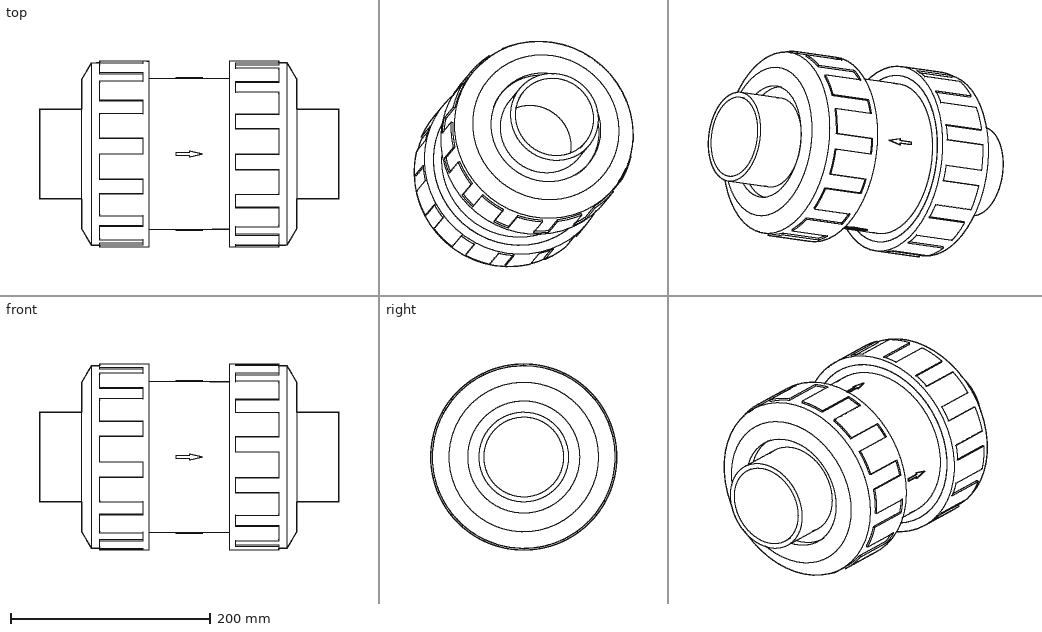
import cadquery as cq

total_length = 300.0
half_length = total_length / 2

body_diameter = 151.5

pipe_diameter = 90.0
bore_diameter = 80.0

nut_diameter = 187.0
nut_rim_diameter = 183.3
nut_face_diameter = 150.0
nut_inner_face = 40.2
nut_outer_face = 108.0
chamfer_length = 10.0
nut_shoulder = 90.0

bore_end = nut_inner_face

gap_diameter = 112.5
gap_depth = 8.5

recess_diameter = 168.3
recess_depth = 0.3

pad_count = 14
pad_pitch = 360 / pad_count
pad_angle = 16.0
pocket_angle = pad_pitch - pad_angle
pad_offset_angle = 5.0
pocket_inner_end = 46.2

arrow_length = 27.0
arrow_head_length = 13.5
arrow_head_width = 6.3
arrow_shaft_width = 2.7
arrow_height = 1.0
arrow_count = 4


def tube(outer_diameter, inner_diameter, x_start, x_end):
    """Hollow cylinder along X between two positions."""
    plane = cq.Workplane("YZ", origin=(x_start, 0, 0))
    return plane.circle(outer_diameter / 2).circle(inner_diameter / 2).extrude(x_end - x_start)


def cylinder(diameter, x_start, x_end):
    """Solid cylinder along X between two positions."""
    return cq.Workplane("YZ", origin=(x_start, 0, 0)).circle(diameter / 2).extrude(x_end - x_start)


def nut_blank():
    """Turned shape of the nut on the +X side at its rim diameter, with a conical outer end."""
    profile = [
        (nut_inner_face, 0),
        (nut_inner_face, nut_rim_diameter / 2),
        (nut_outer_face - chamfer_length, nut_rim_diameter / 2),
        (nut_outer_face, nut_face_diameter / 2),
        (nut_outer_face, 0),
    ]
    return cq.Workplane("XY").polyline(profile).close().revolve(360, (0, 0, 0), (1, 0, 0))


def grip_pocket():
    """Cutter for one pocket through the sleeve, its first side in the XY plane on the +Y side."""
    profile = [
        (pocket_inner_end, pipe_diameter / 2),
        (nut_outer_face, pipe_diameter / 2),
        (nut_outer_face, nut_diameter),
        (pocket_inner_end, nut_diameter),
    ]
    return cq.Workplane("XY").polyline(profile).close().revolve(pocket_angle, (0, 0, 0), (1, 0, 0))


def grip_sleeve():
    """Full-diameter sleeve over the inner part of the nut, pocketed to leave the grip pads."""
    sleeve = tube(nut_diameter, nut_face_diameter, nut_inner_face, nut_shoulder)
    pocket = grip_pocket()
    first_pocket_start = pad_offset_angle + pad_angle / 2
    for index in range(pad_count):
        angle = first_pocket_start + index * pad_pitch
        sleeve = sleeve.cut(pocket.rotate((0, 0, 0), (1, 0, 0), angle))
    return sleeve


def nut_with_pipe():
    """Nut and pipe end on the +X side."""
    end = nut_blank().union(grip_sleeve())
    end = end.cut(tube(gap_diameter, pipe_diameter, nut_outer_face - gap_depth, nut_outer_face))
    end = end.cut(tube(recess_diameter, body_diameter, nut_inner_face, nut_inner_face + recess_depth))
    end = end.union(cylinder(pipe_diameter, nut_outer_face - gap_depth, half_length))
    return end.cut(cylinder(bore_diameter, bore_end, half_length))


def flow_arrow():
    """Arrow on the +Z side of the body, pointing to +X, with a top that follows the body."""
    tail = -arrow_length / 2
    tip = arrow_length / 2
    neck = tip - arrow_head_length
    outline = [
        (tail, -arrow_shaft_width / 2),
        (neck, -arrow_shaft_width / 2),
        (neck, -arrow_head_width / 2),
        (tip, 0),
        (neck, arrow_head_width / 2),
        (neck, arrow_shaft_width / 2),
        (tail, arrow_shaft_width / 2),
    ]
    prism = cq.Workplane("XY").polyline(outline).close().extrude(body_diameter)
    return prism.intersect(cylinder(body_diameter + 2 * arrow_height, tail, tip))


result = cylinder(body_diameter, -nut_inner_face, nut_inner_face)
pipe_end = nut_with_pipe()
for turn in (0, 180):
    result = result.union(pipe_end.rotate((0, 0, 0), (0, 0, 1), turn))

arrow = flow_arrow()
for index in range(arrow_count):
    result = result.union(arrow.rotate((0, 0, 0), (1, 0, 0), index * 360 / arrow_count))